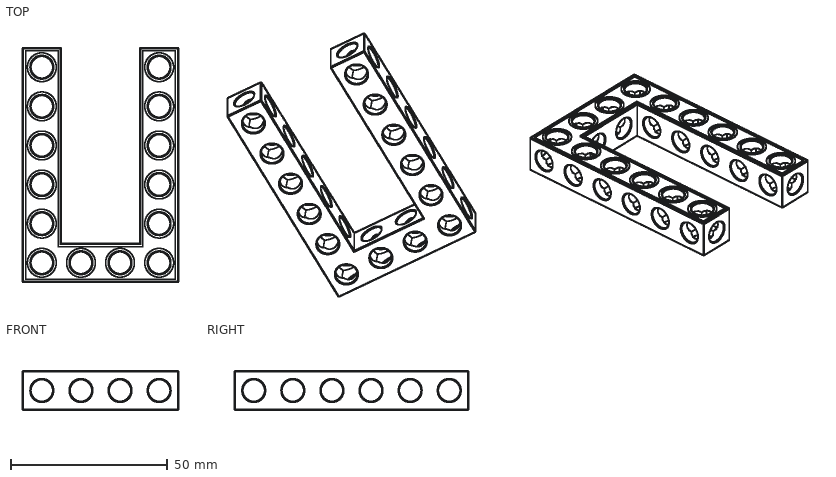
import cadquery as cq

length = 75.0
cells_long = 6
cells_wide = 4
pitch = length / cells_long
width = cells_wide * pitch
height = pitch

bore_diameter = 7.0
edge_chamfer = 0.3

rim_width = 1.05
sink_depth = 0.2
ring_diameter = 9.2


def cell_centers(count):
    """Positions of a row of cell centres, symmetric about zero."""
    return [(i - (count - 1) / 2) * pitch for i in range(count)]


columns = cell_centers(cells_wide)
rows = cell_centers(cells_long)


def u_prism(inset, bottom, top):
    """U-shaped prism, open towards +Y, with its outline moved inwards by inset."""
    outer_x = width / 2 - inset
    inner_x = width / 2 - pitch + inset
    front_y = -length / 2 + inset
    web_y = -length / 2 + pitch - inset
    back_y = length / 2 - inset
    outline = [
        (-outer_x, front_y),
        (outer_x, front_y),
        (outer_x, back_y),
        (inner_x, back_y),
        (inner_x, web_y),
        (-inner_x, web_y),
        (-inner_x, back_y),
        (-outer_x, back_y),
    ]
    return cq.Workplane("XY").workplane(offset=bottom).polyline(outline).close().extrude(top - bottom)


def chamfered_bore(start, direction, depth):
    """Cutter for a through hole with a small chamfer at both mouths."""
    radius = bore_diameter / 2
    mouth_radius = radius + edge_chamfer
    start = cq.Vector(*start)
    direction = cq.Vector(*direction)
    end = start + direction * depth
    bore = cq.Solid.makeCylinder(radius, depth, start, direction)
    near_mouth = cq.Solid.makeCone(mouth_radius, radius, edge_chamfer, start, direction)
    far_mouth = cq.Solid.makeCone(mouth_radius, radius, edge_chamfer, end, direction * -1)
    return bore.fuse(near_mouth, far_mouth)


block = u_prism(0, -height / 2, height / 2)
corner_reach = pitch / 4
inside_corners = cq.selectors.BoxSelector(
    (-width / 2 + pitch - corner_reach, -length / 2 + pitch - corner_reach, -corner_reach),
    (width / 2 - pitch + corner_reach, -length / 2 + pitch + corner_reach, corner_reach),
)
body = block.edges(-inside_corners).chamfer(edge_chamfer)

arm_columns = [columns[0], columns[-1]]
web_columns = columns[1:-1]
occupied_cells = [(x, y) for x in arm_columns for y in rows]
occupied_cells += [(x, rows[0]) for x in web_columns]

floor_z = height / 2 - sink_depth
rings = (
    cq.Workplane("XY")
    .workplane(offset=floor_z)
    .pushPoints(occupied_cells)
    .circle(ring_diameter / 2)
    .extrude(sink_depth)
)
result = body.cut(u_prism(rim_width, floor_z, height / 2).cut(rings))

for x, y in occupied_cells:
    result = result.cut(cq.Workplane(chamfered_bore((x, y, -height / 2), (0, 0, 1), height)))

for y in rows[1:]:
    for x in arm_columns:
        result = result.cut(cq.Workplane(chamfered_bore((x - pitch / 2, y, 0), (1, 0, 0), pitch)))
result = result.cut(cq.Workplane(chamfered_bore((-width / 2, rows[0], 0), (1, 0, 0), width)))

for x in arm_columns:
    result = result.cut(cq.Workplane(chamfered_bore((x, -length / 2, 0), (0, 1, 0), length)))
for x in web_columns:
    result = result.cut(cq.Workplane(chamfered_bore((x, -length / 2, 0), (0, 1, 0), pitch)))